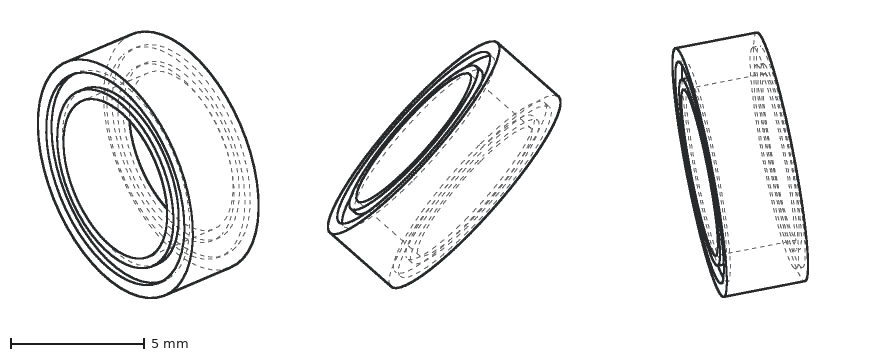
import cadquery as cq

outer_diameter = 9.5
bore_diameter = 6.35
width = 3.12

recess_outer_diameter = 8.46
recess_inner_diameter = 7.12
recess_depth = 0.25


def ring(outer, inner, start, length):
    """Ring around the Y axis, from y = start to y = start + length."""
    radial_thickness = (outer - inner) / 2
    return (
        cq.Workplane("YZ")
        .moveTo(start, inner / 2)
        .rect(length, radial_thickness, centered=False)
        .revolve(360, (0, 0, 0), (1, 0, 0))
    )


def shield_recess(start):
    """Recess cutter that begins at y = start."""
    return ring(recess_outer_diameter, recess_inner_diameter, start, recess_depth)


front_face = -width / 2
back_face = width / 2

races = ring(outer_diameter, bore_diameter, front_face, width)
result = races.cut(shield_recess(front_face)).cut(shield_recess(back_face - recess_depth))